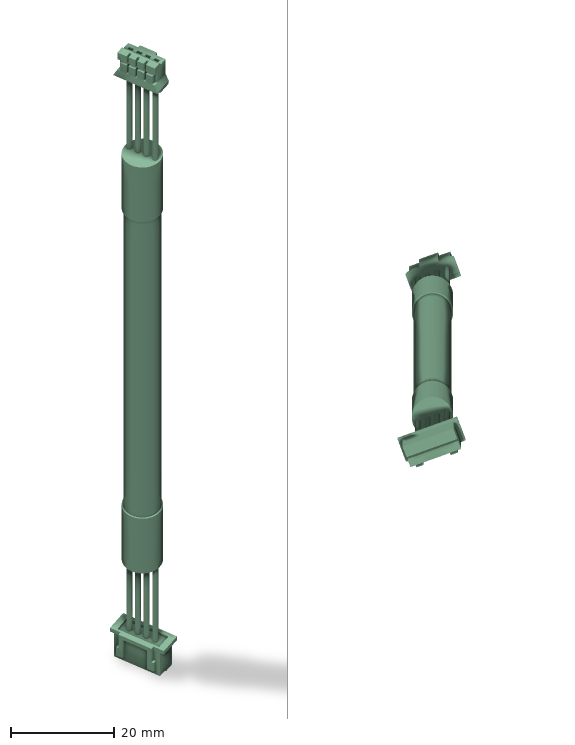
import cadquery as cq


overall_length = 164.4
cable_x = -0.13
wire_count = 4
wire_pitch = 2.0
wire_diameter = 1.2
jacket_diameter = 7.4
jacket_bottom = 27.6
jacket_top = 137.4
sleeve_diameter = 8.0
sleeve_length = 14.8

plug_width = 8.5
plug_front = -2.3
plug_back = 1.6
plug_bottom = 157.5
plug_step = 0.7
plug_step_front = -0.7
key_width = 4.0
key_back = 2.3
base_width = 10.0
base_front = -2.5
base_bottom = 158.0
base_top = 158.3
skirt_top = 159.7
boss_depth = 3.0
socket_width = 1.2
socket_front = 0.2
socket_back = 0.8
window_back = -1.3
window_bottom = 159.7
window_top = 162.5
bar_width = 1.5
bar_top = 161.9
slit_width = 0.5
slit_back = -1.2

shell_width = 10.5
shell_depth = 4.5
shell_top = 7.7
shell_step = 0.5
flange_width = 12.3
flange_back = 2.6
flange_thickness = 1.0
pocket_width = 9.5
pocket_depth = 3.5
pocket_floor = 7.0
frame_front = -3.0
frame_width = 7.5
frame_opening = 5.6
frame_bottom = 1.8
foot_width = 8.5
foot_top = 4.1

shell_front = -shell_depth / 2
shell_back = shell_depth / 2
flange_bottom = shell_top - flange_thickness
plug_shoulder = overall_length - plug_step
wire_places = [cable_x + (i - (wire_count - 1) / 2) * wire_pitch for i in range(wire_count)]
slit_places = [x + wire_pitch / 2 for x in wire_places[:-1]]
sleeve_bottoms = [jacket_bottom, jacket_top - sleeve_length]


def block(x, width, front, back, bottom, top):
    """Box centered on x, between the given Y and Z limits."""
    box = cq.Workplane("XY").box(width, back - front, top - bottom, centered=(True, False, False))
    return box.translate((x, front, bottom))


def rod(x, diameter, bottom, top):
    """Upright cylinder between two heights, with its axis at Y = 0."""
    return cq.Workplane("XY", origin=(x, 0, bottom)).circle(diameter / 2).extrude(top - bottom)


def side_profile(x, width, points):
    """Outline of (Y, Z) points extruded evenly to both sides of x."""
    return cq.Workplane("YZ", origin=(x, 0, 0)).polyline(points).close().extrude(width / 2, both=True)


def make_skirt():
    """Tapered transition from the plug's base to its body."""
    base_depth = plug_back - base_front
    body_depth = plug_back - plug_front
    return (
        cq.Workplane("XY", origin=(cable_x, plug_back - base_depth / 2, base_top))
        .rect(base_width, base_depth)
        .workplane(offset=skirt_top - base_top)
        .center(0, (base_depth - body_depth) / 2)
        .rect(plug_width, body_depth)
        .loft()
    )


def make_plug():
    body_outline = [
        (plug_front, base_bottom),
        (plug_back, base_bottom),
        (plug_back, plug_shoulder),
        (0, plug_shoulder),
        (plug_step_front, overall_length),
        (plug_front, overall_length),
    ]
    plug = side_profile(cable_x, plug_width, body_outline)
    plug = plug.union(block(cable_x, key_width, 0, key_back, base_bottom, plug_shoulder))
    plug = plug.union(block(cable_x, base_width, base_front, plug_back, base_bottom, base_top))
    plug = plug.union(make_skirt())
    plug = plug.union(block(cable_x, base_width, -boss_depth / 2, boss_depth / 2, plug_bottom, base_bottom))

    plug = plug.cut(block(cable_x, plug_width, base_front, window_back, window_bottom, window_top))
    for x in wire_places:
        plug = plug.union(block(x, bar_width, plug_front, window_back, window_bottom, bar_top))
        plug = plug.cut(block(x, socket_width, socket_front, socket_back, window_bottom, overall_length))

    for x in slit_places:
        plug = plug.cut(block(x, slit_width, plug_front, slit_back, window_top, overall_length))
    return plug


def make_latch_frame():
    """Raised frame on the receptacle's front: two legs with feet, joined at the flange."""
    frame = block(0, frame_width, frame_front, shell_front, frame_bottom, shell_top)
    feet = block(0, foot_width, frame_front, shell_front, frame_bottom, foot_top)
    opening = block(0, frame_opening, frame_front, shell_front, frame_bottom, flange_bottom)
    return frame.union(feet).cut(opening)


def make_receptacle():
    shell_outline = [
        (shell_front, shell_top),
        (shell_back, shell_top),
        (shell_back, 0),
        (0, 0),
        (-shell_step, shell_step),
        (shell_front, shell_step),
    ]
    shell = side_profile(0, shell_width, shell_outline)
    shell = shell.union(block(0, flange_width, shell_front, flange_back, flange_bottom, shell_top))
    shell = shell.union(make_latch_frame())

    return shell.cut(block(0, pocket_width, -pocket_depth / 2, pocket_depth / 2, pocket_floor, shell_top))


def make_harness():
    harness = make_plug().union(make_receptacle())
    for x in wire_places:
        harness = harness.union(rod(x, wire_diameter, pocket_floor, plug_bottom))
    return harness


def make_jacket():
    jacket = rod(cable_x, jacket_diameter, jacket_bottom, jacket_top)
    for x in wire_places:
        jacket = jacket.cut(rod(x, wire_diameter, jacket_bottom, jacket_top))
    return jacket


def make_sleeve(bottom):
    top = bottom + sleeve_length
    return rod(cable_x, sleeve_diameter, bottom, top).cut(rod(cable_x, jacket_diameter, bottom, top))


harness = make_harness()
jacket = make_jacket()
sleeves = [make_sleeve(bottom) for bottom in sleeve_bottoms]
result = cq.Compound.makeCompound([harness.val(), jacket.val(), *[sleeve.val() for sleeve in sleeves]])